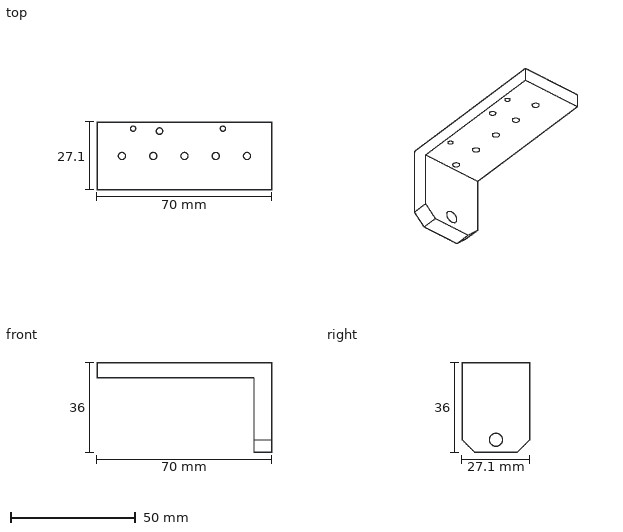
import cadquery as cq

length = 70.0
width = 27.1
height = 36.0
plate_thickness = 6.1
leg_thickness = 7.15
corner_chamfer = 5.05

row_diameter = 2.8
row_count = 5
row_pitch = 12.5
row_center_x = 0.0

rear_diameter = 2.0
rear_inset = 2.6
rear_xs = (-20.6, 15.4)
offset_diameter = 2.5
offset_inset = 3.6
offset_x = -10.0

leg_hole_diameter = 5.2
leg_hole_height = 5.05


def make_body():
    """L-shaped bracket: top plate with a leg hanging at the +X end."""
    plate = cq.Workplane("XY").box(length, width, plate_thickness).translate(
        (0, 0, (height - plate_thickness) / 2)
    )
    leg = (
        cq.Workplane("XY")
        .box(leg_thickness, width, height)
        .faces("<Z")
        .edges("|X")
        .chamfer(corner_chamfer)
        .translate(((length - leg_thickness) / 2, 0, 0))
    )
    return plate.union(leg)


def vertical_holes(points, diameter):
    """Cutters running the full height of the bracket."""
    return (
        cq.Workplane("XY", origin=(0, 0, -height / 2))
        .pushPoints(points)
        .circle(diameter / 2)
        .extrude(height)
    )


row_points = [(row_center_x + (i - (row_count - 1) / 2) * row_pitch, 0) for i in range(row_count)]
rear_points = [(x, width / 2 - rear_inset) for x in rear_xs]
offset_point = (offset_x, width / 2 - offset_inset)

leg_hole = (
    cq.Workplane("YZ", origin=(length / 2 - leg_thickness, 0, leg_hole_height - height / 2))
    .circle(leg_hole_diameter / 2)
    .extrude(leg_thickness)
)

result = (
    make_body()
    .cut(vertical_holes(row_points, row_diameter))
    .cut(vertical_holes(rear_points, rear_diameter))
    .cut(vertical_holes([offset_point], offset_diameter))
    .cut(leg_hole)
)